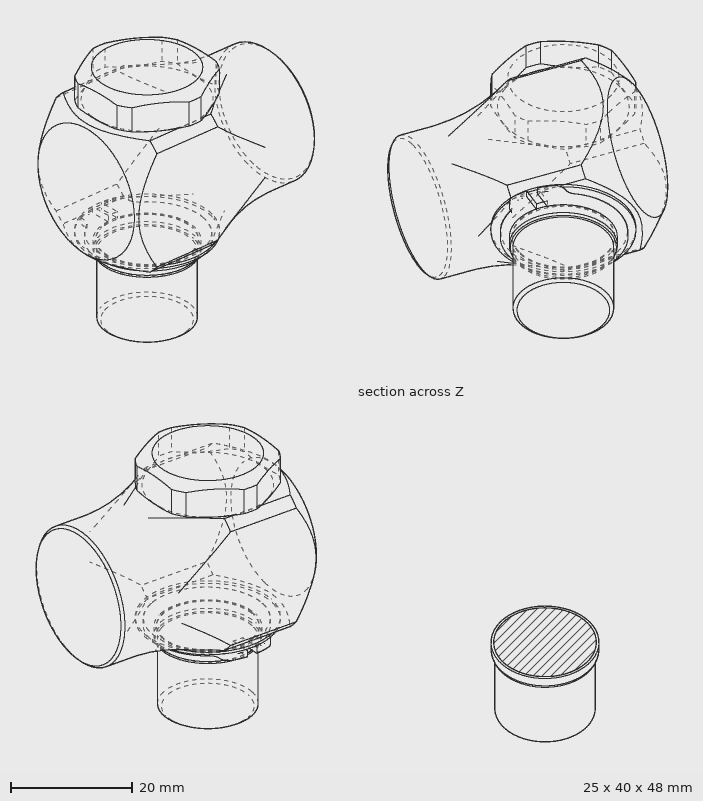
import cadquery as cq
import math

COLLAR_BOTTOM = 13.0
COLLAR_TOP = 15.1
CLIP_BOTTOM = 15.3
WASHER_BOTTOM = 16.5
BODY_BOTTOM = 17.0
NUT_BOTTOM = 42.0
NUT_TOP = 48.0

BODY_WIDTH = NUT_BOTTOM - BODY_BOTTOM
BODY_AXIS_Z = (BODY_BOTTOM + NUT_BOTTOM) / 2
BODY_LENGTH = 40.0
FRONT_Y = -13.5
BACK_Y = FRONT_Y + BODY_LENGTH
FRONT_FACE_RADIUS = 12.0
CORNER_RADIUS = 16.5
NECK_RADIUS = 24.7 / 2
NECK_LENGTH = 6.0
NECK_CHAMFER = 0.5
FLARE_RADIUS = 32.9

NUT_ACROSS_FLATS = 22.0
NUT_CORNER_RADIUS = 12.0
NUT_TOP_RADIUS = 9.2
NUT_BOTTOM_RADIUS = 10.9
NUT_CHAMFER_ANGLE = 20.0

STEM_RADIUS = 16.65 / 2
STEM_TIP_RADIUS = 15.3 / 2
STEM_CHAMFER_HEIGHT = 0.45
COLLAR_RADIUS = 17.85 / 2
COLLAR_LIP_RADIUS = 17.5 / 2
COLLAR_CHAMFER_HEIGHT = 0.5
GROOVE_RADIUS = 17.0 / 2
WASHER_RADIUS = 12.0

CLIP_OUTER_RADIUS = 10.55
CLIP_OFFSET = 0.3
LUG_TIP_RADIUS = 12.5
LUG_HALF_WIDTH = 5.05
LUG_CORNER_FILLET = 2.0
LUG_ROOT_FILLET = 1.75
CLIP_EDGE_FILLET = 0.1
CLIP_GAP = 1.95


def make_body():
    """Turned blank with a conical front, an arc flare and a round neck, cut to a square section."""
    cone_end_y = FRONT_Y + CORNER_RADIUS - FRONT_FACE_RADIUS
    neck_y = BACK_Y - NECK_LENGTH
    flare_rise = CORNER_RADIUS - NECK_RADIUS
    flare_angle = math.acos(1 - flare_rise / FLARE_RADIUS)
    flare_middle = (
        NECK_RADIUS + FLARE_RADIUS * (1 - math.cos(flare_angle / 2)),
        neck_y - FLARE_RADIUS * math.sin(flare_angle / 2),
    )
    flare_end = (CORNER_RADIUS, neck_y - FLARE_RADIUS * math.sin(flare_angle))
    blank = (
        cq.Workplane("XY")
        .moveTo(0, FRONT_Y)
        .lineTo(FRONT_FACE_RADIUS, FRONT_Y)
        .lineTo(CORNER_RADIUS, cone_end_y)
        .lineTo(*flare_end)
        .threePointArc(flare_middle, (NECK_RADIUS, neck_y))
        .lineTo(NECK_RADIUS, BACK_Y - NECK_CHAMFER)
        .lineTo(NECK_RADIUS - NECK_CHAMFER, BACK_Y)
        .lineTo(0, BACK_Y)
        .close()
        .revolve(360, (0, 0, 0), (0, 1, 0))
    )
    square = cq.Workplane("XY").box(BODY_WIDTH, BODY_LENGTH, BODY_WIDTH)
    square = square.translate((0, FRONT_Y + BODY_LENGTH / 2, 0))
    return blank.intersect(square).translate((0, 0, BODY_AXIS_Z))


def turned_about_z(points):
    """Solid of revolution about Z from (radius, height) points."""
    return cq.Workplane("XZ").polyline(points).close().revolve(360, (0, 0, 0), (0, 1, 0))


def make_nut():
    """Hexagon with flats facing +Y and -Y, its corners turned round and chamfered at both ends."""
    slope = math.tan(math.radians(NUT_CHAMFER_ANGLE))
    hexagon = (
        cq.Workplane("XY")
        .workplane(offset=NUT_BOTTOM)
        .polygon(6, NUT_ACROSS_FLATS / math.cos(math.pi / 6))
        .extrude(NUT_TOP - NUT_BOTTOM)
    )
    envelope = turned_about_z([
        (0, NUT_BOTTOM),
        (NUT_BOTTOM_RADIUS, NUT_BOTTOM),
        (NUT_CORNER_RADIUS, NUT_BOTTOM + (NUT_CORNER_RADIUS - NUT_BOTTOM_RADIUS) * slope),
        (NUT_CORNER_RADIUS, NUT_TOP - (NUT_CORNER_RADIUS - NUT_TOP_RADIUS) * slope),
        (NUT_TOP_RADIUS, NUT_TOP),
        (0, NUT_TOP),
    ])
    return hexagon.intersect(envelope)


def make_stem():
    """Stem with a chamfered tip, a collar, the ring groove and the washer under the body."""
    return turned_about_z([
        (0, 0),
        (STEM_TIP_RADIUS, 0),
        (STEM_RADIUS, STEM_CHAMFER_HEIGHT),
        (STEM_RADIUS, COLLAR_BOTTOM),
        (COLLAR_LIP_RADIUS, COLLAR_BOTTOM),
        (COLLAR_RADIUS, COLLAR_BOTTOM + COLLAR_CHAMFER_HEIGHT),
        (COLLAR_RADIUS, COLLAR_TOP),
        (GROOVE_RADIUS, COLLAR_TOP),
        (GROOVE_RADIUS, WASHER_BOTTOM),
        (WASHER_RADIUS, WASHER_BOTTOM),
        (WASHER_RADIUS, BODY_BOTTOM),
        (0, BODY_BOTTOM),
    ])


def make_clip():
    """Retaining ring with two rounded lugs either side of its gap."""
    thickness = WASHER_BOTTOM - CLIP_BOTTOM
    base = cq.Workplane("XY").workplane(offset=CLIP_BOTTOM)
    lug_centre = base.center(-LUG_TIP_RADIUS / 2, 0)
    lugs = (
        lug_centre.rect(LUG_TIP_RADIUS, 2 * LUG_HALF_WIDTH)
        .extrude(thickness)
        .intersect(base.circle(LUG_TIP_RADIUS).extrude(thickness))
        .edges("|Z and (not >X)")
        .fillet(LUG_CORNER_FILLET)
    )
    ring = base.center(CLIP_OFFSET, 0).circle(CLIP_OUTER_RADIUS).extrude(thickness)

    root_x = CLIP_OFFSET - math.sqrt(CLIP_OUTER_RADIUS**2 - LUG_HALF_WIDTH**2)
    outline = ring.union(lugs)
    for side in (1, -1):
        root = cq.selectors.NearestToPointSelector(
            (root_x, side * LUG_HALF_WIDTH, CLIP_BOTTOM + thickness / 2)
        )
        outline = outline.edges("|Z").edges(root).fillet(LUG_ROOT_FILLET)
    outline = outline.faces("<Z or >Z").edges().fillet(CLIP_EDGE_FILLET)

    gap = lug_centre.rect(LUG_TIP_RADIUS, CLIP_GAP).extrude(thickness)
    bore = base.circle(GROOVE_RADIUS).extrude(thickness)
    return outline.cut(gap).cut(bore)


result = make_body().union(make_nut()).union(make_stem()).union(make_clip())